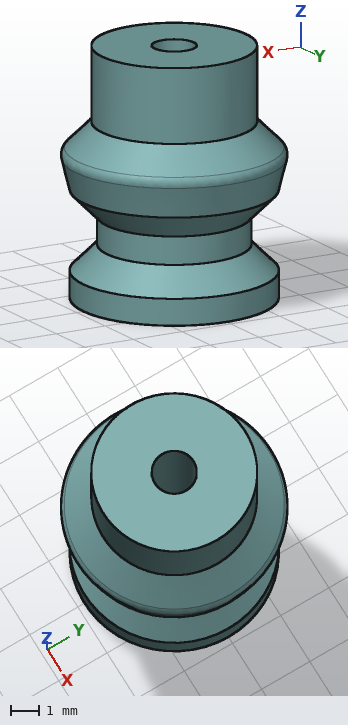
import cadquery as cq
import math

total_height = 9.3
bore_diameter = 1.6
base_diameter = 7.45
neck_diameter = 5.5
top_diameter = 5.9
base_top = 1.0
collar_bottom = 4.0
top_boss_bottom = 6.5
flare_angle = 14.0
rim_fillet = 0.4

bore_radius = bore_diameter / 2
base_radius = base_diameter / 2
neck_radius = neck_diameter / 2
top_radius = top_diameter / 2

neck_cone_height = base_radius - neck_radius
neck_bottom = base_top + neck_cone_height
neck_top = collar_bottom - neck_cone_height

flare_slope = math.tan(math.radians(flare_angle))
cone_drop = top_boss_bottom - collar_bottom
rim_rise = (top_radius + cone_drop - base_radius) / (1 + flare_slope)
rim_radius = base_radius + rim_rise * flare_slope
rim_height = collar_bottom + rim_rise


def make_body():
    """Revolve the half section, bore included, about the Z axis."""
    section = [
        (bore_radius, 0),
        (base_radius, 0),
        (base_radius, base_top),
        (neck_radius, neck_bottom),
        (neck_radius, neck_top),
        (base_radius, collar_bottom),
        (rim_radius, rim_height),
        (top_radius, top_boss_bottom),
        (top_radius, total_height),
        (bore_radius, total_height),
    ]
    axis_start = (0, 0)
    axis_end = (0, 1)
    return cq.Workplane("XZ").polyline(section).close().revolve(360, axis_start, axis_end)


def round_rim(body):
    """Round the widest edge of the collar."""
    edge_tolerance = 0.01
    half_width = rim_radius + edge_tolerance
    selector = cq.selectors.BoxSelector(
        (-half_width, -half_width, rim_height - edge_tolerance),
        (half_width, half_width, rim_height + edge_tolerance),
    )
    rim_edge = body.edges(selector)
    return rim_edge.fillet(rim_fillet)


result = round_rim(make_body())